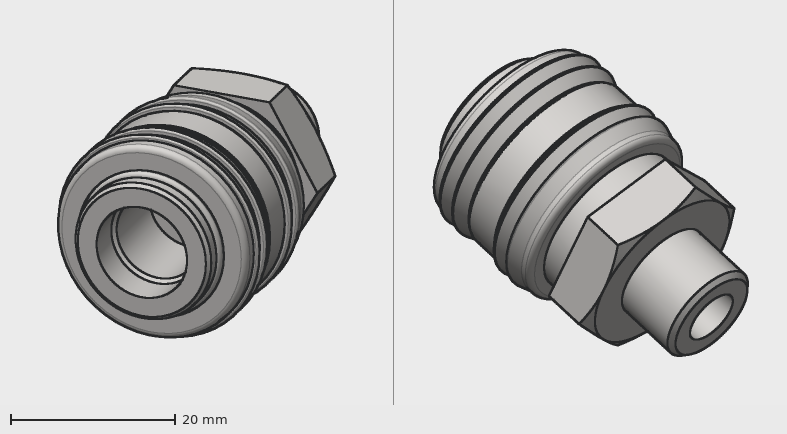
import cadquery as cq
import math

OVERALL_LENGTH = 40.0

NOSE_RADIUS = 9.0
NOSE_CHAMFER = 0.5
FLANGE_START = 2.1
FLANGE_FILLET = 0.6
FLANGE_RADIUS = NOSE_RADIUS + FLANGE_FILLET

SLEEVE_START = 3.0
SLEEVE_END = 21.0
SLEEVE_RADIUS = 12.7
SLEEVE_FILLET = 0.8

RIDGE_RADIUS = 13.3
RIDGE_ROOT_RADIUS = 12.5
RIDGE_PITCH = 2.3
RIDGE_CREST_FILLET = 0.3
RIDGE_CREST_FLAT = 0.1
RIDGES_PER_BAND = 2
RIDGE_BAND_LENGTH = RIDGES_PER_BAND * RIDGE_PITCH
FRONT_BAND_START = 5.0
REAR_BAND_START = 14.9
RELIEF_WIDTH = 0.4

NECK_RADIUS = 10.35
HEX_START = 24.5
HEX_END = 31.0
HEX_ACROSS_FLATS = 22.0
HEX_CORNER_RADIUS = HEX_ACROSS_FLATS / math.sqrt(3)
HEX_CHAMFER_ANGLE = math.radians(30)
STEM_DIAMETER = 13.157
STEM_RADIUS = STEM_DIAMETER / 2
STEM_CHAMFER = 0.7

SOCKET_RADIUS = 6.0
SOCKET_DEPTH = 4.5
INNER_SOCKET_RADIUS = 5.5
SOCKET_CONE_LENGTH = 0.5
INNER_SOCKET_END = 15.0
THROUGH_RADIUS = 3.5


def revolve_y(profile):
    """Turn a closed (radius, station) profile about the Y axis."""
    return profile.close().revolve(360, (0, 0, 0), (0, 1, 0))


def cylinder(radius, start, end):
    """Solid cylinder along Y between two stations."""
    profile = cq.Workplane("XY").moveTo(0, start).lineTo(radius, start).lineTo(radius, end).lineTo(0, end)
    return revolve_y(profile)


def make_nose():
    """Chamfered nose with the rounded flange that runs back inside the sleeve."""
    nose = cylinder(NOSE_RADIUS, 0, SLEEVE_END).faces("<Y").chamfer(NOSE_CHAMFER)
    flange = cylinder(FLANGE_RADIUS, FLANGE_START, SLEEVE_END).faces("<Y").edges().fillet(FLANGE_FILLET)
    return nose.union(flange)


def make_ridge(start, root_radius):
    """One sawtooth ring: steep face, rounded crest, then a flank falling to root_radius towards +Y."""
    end = start + RIDGE_PITCH
    crest_start = start + RIDGE_CREST_FILLET
    shoulder_radius = RIDGE_RADIUS - RIDGE_CREST_FILLET
    arc_offset = RIDGE_CREST_FILLET * math.sin(math.radians(45))
    profile = (
        cq.Workplane("XY")
        .moveTo(0, start)
        .lineTo(shoulder_radius, start)
        .threePointArc(
            (shoulder_radius + arc_offset, crest_start - arc_offset),
            (RIDGE_RADIUS, crest_start),
        )
        .lineTo(RIDGE_RADIUS, crest_start + RIDGE_CREST_FLAT)
        .lineTo(root_radius, end)
        .lineTo(0, end)
    )
    return revolve_y(profile)


def make_sleeve():
    """Grip sleeve: three plain lands around two bands of ridges."""
    front_land = cylinder(SLEEVE_RADIUS, SLEEVE_START, FRONT_BAND_START)
    front_land = front_land.faces("<Y").edges().fillet(SLEEVE_FILLET)
    middle_start = FRONT_BAND_START + RIDGE_BAND_LENGTH + RELIEF_WIDTH
    middle_land = cylinder(SLEEVE_RADIUS, middle_start, REAR_BAND_START - RELIEF_WIDTH)
    rear_start = REAR_BAND_START + RIDGE_BAND_LENGTH
    rear_land = cylinder(SLEEVE_RADIUS, rear_start, SLEEVE_END)
    rear_land = rear_land.faces(">Y").edges().fillet(SLEEVE_FILLET)
    core = cylinder(RIDGE_ROOT_RADIUS, FRONT_BAND_START, rear_start)
    sleeve = core.union(front_land).union(middle_land).union(rear_land)
    for band_start in (FRONT_BAND_START, REAR_BAND_START):
        for index in range(RIDGES_PER_BAND):
            start = band_start + index * RIDGE_PITCH
            meets_rear_land = math.isclose(start + RIDGE_PITCH, rear_start)
            root_radius = SLEEVE_RADIUS if meets_rear_land else RIDGE_ROOT_RADIUS
            sleeve = sleeve.union(make_ridge(start, root_radius))
    return sleeve


def make_hexagon():
    """Hexagon with corners on the X axis, its +Y corners turned off by a cone."""
    hexagon = (
        cq.Workplane("XZ", origin=(0, HEX_START, 0))
        .polygon(6, 2 * HEX_CORNER_RADIUS)
        .extrude(HEX_START - HEX_END)
    )
    face_radius = HEX_ACROSS_FLATS / 2
    cone_reach = (HEX_END - HEX_START) / math.tan(HEX_CHAMFER_ANGLE)
    chamfer_cone = revolve_y(
        cq.Workplane("XY")
        .moveTo(0, HEX_START)
        .lineTo(face_radius + cone_reach, HEX_START)
        .lineTo(face_radius, HEX_END)
        .lineTo(0, HEX_END)
    )
    return hexagon.intersect(chamfer_cone)


def make_stem():
    """Plain stem with a chamfered +Y end."""
    return cylinder(STEM_RADIUS, HEX_START, OVERALL_LENGTH).faces(">Y").chamfer(STEM_CHAMFER)


def make_bore():
    """Socket bore, short cone, inner socket and through hole as one cutter."""
    cone_end = SOCKET_DEPTH + SOCKET_CONE_LENGTH
    return revolve_y(
        cq.Workplane("XY")
        .lineTo(SOCKET_RADIUS, 0)
        .lineTo(SOCKET_RADIUS, SOCKET_DEPTH)
        .lineTo(INNER_SOCKET_RADIUS, cone_end)
        .lineTo(INNER_SOCKET_RADIUS, INNER_SOCKET_END)
        .lineTo(THROUGH_RADIUS, INNER_SOCKET_END)
        .lineTo(THROUGH_RADIUS, OVERALL_LENGTH)
        .lineTo(0, OVERALL_LENGTH)
    )


neck = cylinder(NECK_RADIUS, SLEEVE_START, HEX_START)
body = make_nose().union(make_sleeve()).union(neck).union(make_hexagon()).union(make_stem())
result = body.cut(make_bore())